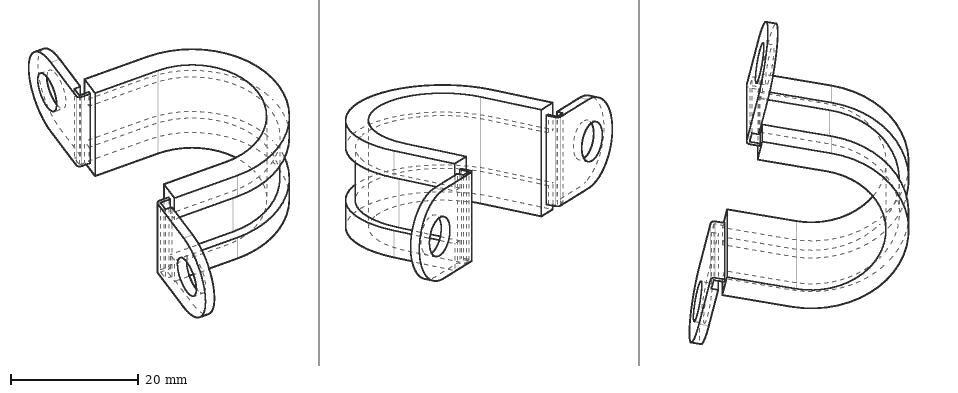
import cadquery as cq

inner_radius = 11.7
cushion_thickness = 3.6
cushion_width = 18.0
leg_length = 11.1
groove_depth = 1.5
groove_width = 8.9

strap_width = 15.0
strap_thickness = 0.5
fold_radius = 0.6
foot_drop = 2.2
tab_thickness = 1.6
tab_shoulder_gap = 0.2
overall_length = 60.2
hole_diameter = 6.4
hole_spacing = 47.5

outer_radius = inner_radius + cushion_thickness
strap_outer = outer_radius - groove_depth
strap_inner = strap_outer - strap_thickness
leg_end_y = -leg_length
foot_y = leg_end_y - foot_drop
tab_end_radius = strap_width / 2
tab_end_x = overall_length / 2
tab_center_x = tab_end_x - tab_end_radius
shoulder_x = outer_radius + tab_shoulder_gap


def arch(radius_in, radius_out, width):
    """U-shaped band of rectangular section, centred on Z = 0."""
    return (
        cq.Workplane("XY")
        .workplane(offset=-width / 2)
        .moveTo(-radius_out, leg_end_y)
        .lineTo(-radius_out, 0)
        .threePointArc((0, radius_out), (radius_out, 0))
        .lineTo(radius_out, leg_end_y)
        .lineTo(radius_in, leg_end_y)
        .lineTo(radius_in, 0)
        .threePointArc((0, radius_in), (-radius_in, 0))
        .lineTo(-radius_in, leg_end_y)
        .close()
        .extrude(width)
    )


def grooved_cushion():
    """Cushion with a central groove around its outside that exposes the strap."""
    cushion = arch(inner_radius, outer_radius, cushion_width)
    return cushion.cut(arch(strap_outer, outer_radius, groove_width))


def drilled_tab():
    """Thick +X tab with a fully rounded free end and a screw hole."""
    face = cq.Workplane("XZ", origin=(0, foot_y + tab_thickness, 0))
    plate = (
        face.moveTo(shoulder_x, -tab_end_radius)
        .lineTo(tab_center_x, -tab_end_radius)
        .threePointArc((tab_end_x, 0), (tab_center_x, tab_end_radius))
        .lineTo(shoulder_x, tab_end_radius)
        .close()
        .extrude(tab_thickness)
    )
    hole = face.moveTo(hole_spacing / 2, 0).circle(hole_diameter / 2).extrude(tab_thickness)
    return plate.cut(hole)


def folded_strap():
    """Thin L-shaped strap joining the +X cushion leg to its tab."""
    strap = (
        cq.Workplane("XY")
        .workplane(offset=-strap_width / 2)
        .moveTo(strap_inner, leg_end_y)
        .lineTo(strap_inner, foot_y)
        .lineTo(shoulder_x, foot_y)
        .lineTo(shoulder_x, foot_y + strap_thickness)
        .lineTo(strap_outer, foot_y + strap_thickness)
        .lineTo(strap_outer, leg_end_y)
        .close()
        .extrude(strap_width)
    )
    fold_edge = cq.selectors.NearestToPointSelector((strap_inner, foot_y, 0))
    return strap.edges(fold_edge).fillet(fold_radius)


foot = folded_strap().union(drilled_tab())
result = grooved_cushion().union(foot).union(foot.mirror("YZ"))